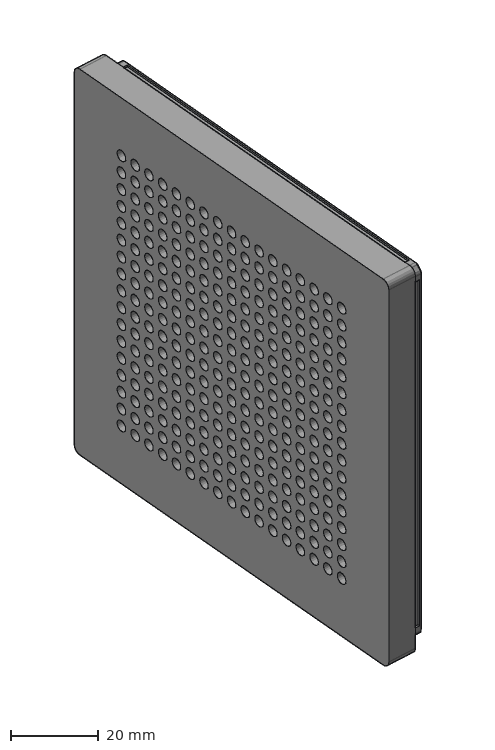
import cadquery as cq

plate_side = 110.0
plate_thickness = 8.0
plate_corner_radius = 2.0

total_depth = 12.0
block_inset = 2.1
block_side = plate_side - 2 * block_inset
block_corner_chamfer = 1.6
block_corner_blend = 1.0
back_edge_chamfer = 0.4

groove_end_margin = 3.6
groove_length = block_side - 2 * groove_end_margin
groove_depth = 0.5
groove_back_margin = 0.9
groove_back_y = total_depth - groove_back_margin
groove_floor_width = 0.9
groove_slope_width = 0.4

hole_diameter = 3.0
holes_per_side = 17
hole_grid_span = 77.0
hole_pitch = hole_grid_span / (holes_per_side - 1)


def square_slab(side, front_y, back_y):
    """Square slab centred on the Y axis between two Y positions."""
    return (
        cq.Workplane("XZ", origin=(0, front_y, 0))
        .rect(side, side)
        .extrude(front_y - back_y)
    )


def front_plate():
    return square_slab(plate_side, 0, plate_thickness).edges("|Y").fillet(plate_corner_radius)


def groove_cutter():
    """Groove along the top side of the block, extruded along X."""
    surface_z = block_side / 2
    floor_z = surface_z - groove_depth
    floor_front_y = groove_back_y - groove_floor_width
    return (
        cq.Workplane("YZ")
        .moveTo(groove_back_y, surface_z)
        .lineTo(groove_back_y, floor_z)
        .lineTo(floor_front_y, floor_z)
        .lineTo(floor_front_y - groove_slope_width, surface_z)
        .close()
        .extrude(groove_length / 2, both=True)
    )


def back_block():
    block = (
        square_slab(block_side, plate_thickness, total_depth)
        .edges("|Y")
        .chamfer(block_corner_chamfer)
        .edges("|Y")
        .fillet(block_corner_blend)
        .faces(">Y")
        .edges()
        .chamfer(back_edge_chamfer)
    )
    for quarter_turn in range(4):
        block = block.cut(groove_cutter().rotate((0, 0, 0), (0, 1, 0), 90 * quarter_turn))
    return block


def hole_pins():
    return (
        cq.Workplane("XZ")
        .rarray(hole_pitch, hole_pitch, holes_per_side, holes_per_side)
        .circle(hole_diameter / 2)
        .extrude(-total_depth)
    )


result = front_plate().union(back_block()).cut(hole_pins())